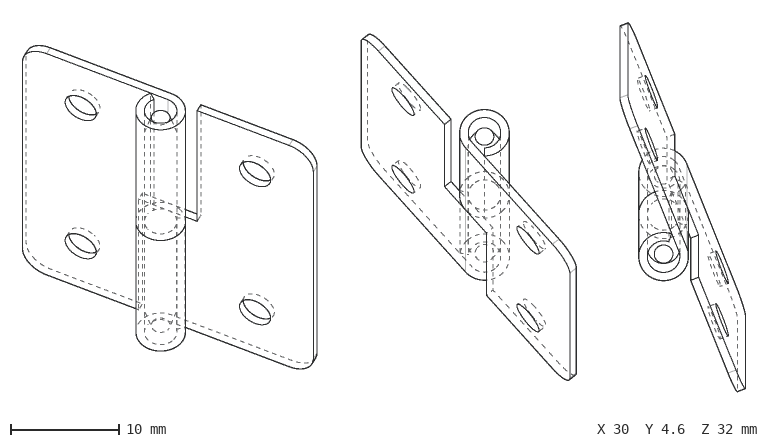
import cadquery as cq
import math

HEIGHT = 32.0
WIDTH = 30.0
SHEET = 0.8
KNUCKLE_RADIUS = 2.3
CORNER_RADIUS = 2.5
CUTOUT_EDGE = 3.0
CURL_END_ANGLE = 140.0
HOLE_DIAMETER = 3.2
HOLE_X = 9.0
HOLE_Z = 10.0
PIN_RECESS = 1.0
PIN_END_RADIUS = 0.85
PIN_TAPER_LENGTH = 2.4

BORE_RADIUS = KNUCKLE_RADIUS - SHEET
HALF_WIDTH = WIDTH / 2
HALF_HEIGHT = HEIGHT / 2
PIN_LENGTH = HEIGHT - 2 * PIN_RECESS


def polar(radius, degrees):
    """Point at a given radius and angle around the hinge axis."""
    angle = math.radians(degrees)
    return (radius * math.cos(angle), radius * math.sin(angle))


def make_curled_half():
    """Upper half of the leaf: flat sheet rolled clockwise into a knuckle."""
    middle_angle = (90 + CURL_END_ANGLE - 360) / 2
    return (
        cq.Workplane("XY")
        .moveTo(-HALF_WIDTH, KNUCKLE_RADIUS)
        .lineTo(0, KNUCKLE_RADIUS)
        .threePointArc(polar(KNUCKLE_RADIUS, middle_angle), polar(KNUCKLE_RADIUS, CURL_END_ANGLE))
        .lineTo(*polar(BORE_RADIUS, CURL_END_ANGLE))
        .threePointArc(polar(BORE_RADIUS, middle_angle), (0, BORE_RADIUS))
        .lineTo(-HALF_WIDTH, BORE_RADIUS)
        .close()
        .extrude(HALF_HEIGHT)
    )


def make_flat_half():
    """Lower half of the leaf: flat sheet cut back beside the other knuckle."""
    return cq.Workplane("XY").box(
        HALF_WIDTH - CUTOUT_EDGE, SHEET, HALF_HEIGHT, centered=False
    ).translate((-HALF_WIDTH, BORE_RADIUS, -HALF_HEIGHT))


def make_screw_holes():
    """Cutters for the two screw holes of one leaf."""
    return (
        cq.Workplane("XZ", origin=(0, KNUCKLE_RADIUS, 0))
        .pushPoints([(-HOLE_X, -HOLE_Z), (-HOLE_X, HOLE_Z)])
        .circle(HOLE_DIAMETER / 2)
        .extrude(SHEET)
    )


def make_leaf():
    """Leaf on the -X side, with its knuckle on the upper half of the hinge."""
    blank = make_curled_half().union(make_flat_half())
    rounded = blank.edges("|Y and <X").fillet(CORNER_RADIUS)
    return rounded.cut(make_screw_holes())


def make_pin():
    """Hinge pin filling the knuckle bores, tapered at both ends."""
    half_length = PIN_LENGTH / 2
    shoulder = half_length - PIN_TAPER_LENGTH
    profile = [
        (0, -half_length),
        (PIN_END_RADIUS, -half_length),
        (BORE_RADIUS, -shoulder),
        (BORE_RADIUS, shoulder),
        (PIN_END_RADIUS, half_length),
        (0, half_length),
    ]
    return cq.Workplane("XZ").polyline(profile).close().revolve(360, (0, 0), (0, 1))


leaves = [make_leaf().rotate((0, 0, 0), (0, 1, 0), turn).val() for turn in (0, 180)]
pin = make_pin()

result = cq.Compound.makeCompound([*leaves, pin.val()])